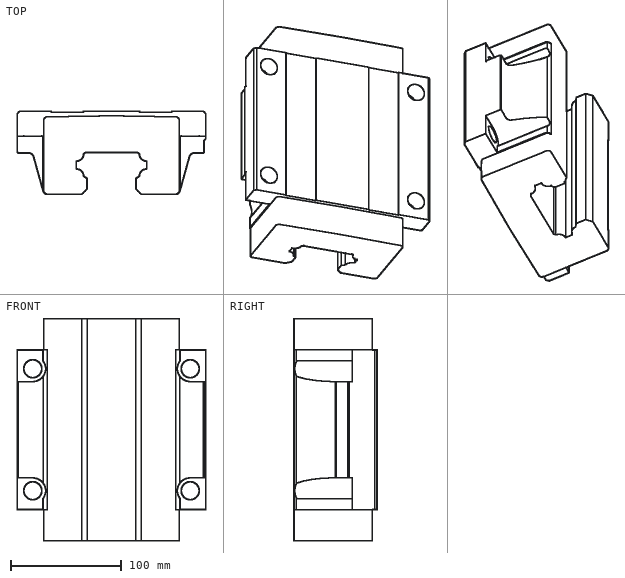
import cadquery as cq
import math


flange_width = 170.0
height = 75.0
total_length = 200.5
block_length = 144.2
cap_length = (total_length - block_length) / 2

flange_half = flange_width / 2
seat_y = 52.5
lip_y = 37.2
lip_chamfer = 0.8
top_chamfer = 2.2
flank_lip_x = 74.8
flank_top = (70.2, 33.4)
flank_foot = (61.6, 2.3)
transition_mid = (71.5, 35.8)
foot_x = 58.1
datum_step = 1.4
datum_step_y = 50.0

strip_inner_x = 25.4
strip_outer_x = 54.3
strip_depth = 0.8

bolt_pitch_x = 142.0
bolt_pitch_z = 110.0
bolt_diameter = 16.0
clearance_radius = 11.6
side_wall_x = 62.0

cap_half = 61.2
cap_edge_y = 69.8
cap_crown_y = 70.8
cap_top_fillet = 3.3
cap_bottom_fillet = 3.1

slot_top_y = 37.7
slot_top_x = 23.3
lobe_radius = 6.5
lobe_center_x = 31.6
upper_lobe_y = 36.3
lower_lobe_y = 16.4
mouth_x = 22.0
mouth_top_y = 14.3
mouth_chamfer = 4.8


def extrude_centered(profile, length):
    """Extrude an XY profile symmetrically about Z = 0."""
    return profile.extrude(length / 2, both=True)


def block_half():
    """Half of the block section, on the +X side, along its full length."""
    profile = (
        cq.Workplane("XY")
        .moveTo(0, 0)
        .lineTo(foot_x, 0)
        .lineTo(*flank_foot)
        .lineTo(*flank_top)
        .threePointArc(transition_mid, (flank_lip_x, lip_y))
        .lineTo(flange_half - lip_chamfer, lip_y)
        .lineTo(flange_half, lip_y + lip_chamfer)
        .lineTo(flange_half, height - top_chamfer)
        .lineTo(flange_half - top_chamfer, height)
        .lineTo(strip_outer_x, height)
        .lineTo(strip_outer_x, height - strip_depth)
        .lineTo(strip_inner_x, height - strip_depth)
        .lineTo(strip_inner_x, height)
        .lineTo(0, height)
        .close()
    )
    return extrude_centered(profile, block_length)


def datum_relief():
    """Set-back of the +X flange side below the reference edge."""
    inner_x = flange_half - datum_step
    profile = (
        cq.Workplane("XY")
        .moveTo(flange_half, datum_step_y)
        .lineTo(inner_x, datum_step_y - datum_step)
        .lineTo(inner_x, lip_y + lip_chamfer)
        .lineTo(inner_x - lip_chamfer, lip_y)
        .lineTo(flange_half, lip_y)
        .close()
    )
    return extrude_centered(profile, block_length)


def bolt_clearance(side, end):
    """Space under the flange around one bolt, open to the block end and side."""
    bolt_x = bolt_pitch_x / 2
    bolt_z = bolt_pitch_z / 2
    inner_z = bolt_z - clearance_radius
    wall_z = bolt_z + math.sqrt(clearance_radius**2 - (bolt_x - side_wall_x) ** 2)
    diagonal = clearance_radius * math.sqrt(0.5)
    outline = [
        (flange_half, inner_z),
        (bolt_x, inner_z),
        (side_wall_x, wall_z),
        (side_wall_x, block_length / 2),
        (flange_half, block_length / 2),
    ]
    arc_mid = (bolt_x - diagonal, bolt_z - diagonal)
    placed = [(side * x, end * z) for x, z in outline]
    return (
        cq.Workplane("XZ")
        .moveTo(*placed[0])
        .lineTo(*placed[1])
        .threePointArc((side * arc_mid[0], end * arc_mid[1]), placed[2])
        .lineTo(*placed[3])
        .lineTo(*placed[4])
        .close()
        .extrude(-seat_y)
    )


def bolt_holes():
    """Four through holes along Y."""
    return (
        cq.Workplane("XZ")
        .rect(bolt_pitch_x, bolt_pitch_z, forConstruction=True)
        .vertices()
        .circle(bolt_diameter / 2)
        .extrude(-height)
    )


def steel_block():
    half = block_half()
    block = half.union(half.mirror("YZ")).cut(datum_relief())
    for side in (-1, 1):
        for end in (-1, 1):
            block = block.cut(bolt_clearance(side, end))
    return block.cut(bolt_holes())


def end_cap():
    """Cap on the +Z end with a slightly crowned top and rounded long edges."""
    outline = [
        (-cap_half, 0),
        (cap_half, 0),
        (cap_half, cap_edge_y),
        (0, cap_crown_y),
        (-cap_half, cap_edge_y),
    ]
    cap_base = cq.Workplane("XY").workplane(offset=block_length / 2)
    cap = cap_base.polyline(outline).close().extrude(cap_length)
    cap = cap.edges("|Z and (>X or <X) and (not <Y)").fillet(cap_top_fillet)
    return cap.edges("|Z and <Y").fillet(cap_bottom_fillet)


def slot_half():
    """Half of the rail slot on the +X side, bounded by the two raceway lobes."""
    lobe_x = lobe_center_x - lobe_radius
    diagonal = lobe_radius * math.sqrt(0.5)
    lobe_mid_x = lobe_center_x - diagonal
    profile = (
        cq.Workplane("XY")
        .moveTo(0, 0)
        .lineTo(mouth_x + mouth_chamfer, 0)
        .lineTo(mouth_x, mouth_chamfer)
        .lineTo(mouth_x, mouth_top_y)
        .lineTo(lobe_x, lower_lobe_y)
        .threePointArc((lobe_mid_x, lower_lobe_y + diagonal), (lobe_center_x, lower_lobe_y + lobe_radius))
        .lineTo(lobe_center_x, upper_lobe_y - lobe_radius)
        .threePointArc((lobe_mid_x, upper_lobe_y - diagonal), (lobe_x, upper_lobe_y))
        .lineTo(slot_top_x, slot_top_y)
        .lineTo(0, slot_top_y)
        .close()
    )
    return extrude_centered(profile, total_length)


cap = end_cap()
slot = slot_half()
carriage = steel_block().union(cap).union(cap.mirror("XY"))
result = carriage.cut(slot).cut(slot.mirror("YZ"))